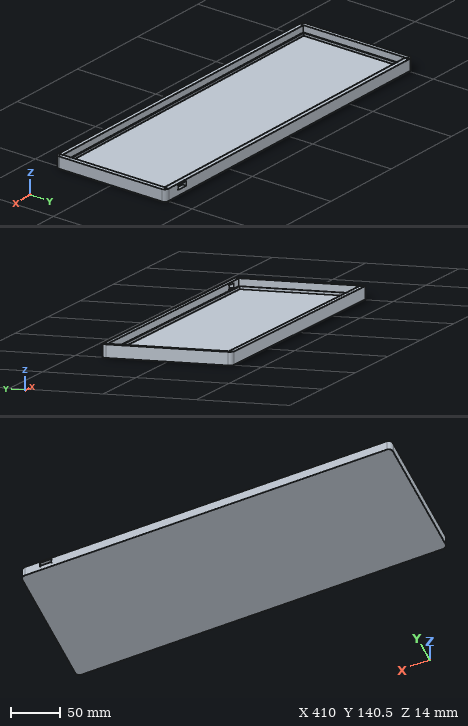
import cadquery as cq

length = 410.0
width = 140.5
height = 14.0
corner_radius = 5.0

wall = 5.5
floor_thickness = 3.0
step_width = 1.2
step_height = 3.0

hole_diameter = 1.6
hole_depth = 4.0
hole_inset_x = 5.0
hole_inset_y = 3.0

window_length = 12.7
window_height = 5.0
window_end_offset = 21.5
window_sill = 1.0
window_bottom = floor_thickness + step_height + window_sill


def cavity(inset, bottom):
    """Rectangular cavity, inset from the outer walls and open at the top."""
    return (
        cq.Workplane("XY", origin=(0, 0, bottom))
        .rect(length - 2 * inset, width - 2 * inset)
        .extrude(height - bottom)
    )


def tray_body():
    body = cq.Workplane("XY").rect(length, width).extrude(height)
    body = body.edges("|Z").fillet(corner_radius)
    body = body.cut(cavity(wall, floor_thickness + step_height))
    return body.cut(cavity(wall + step_width, floor_thickness))


def corner_holes():
    return (
        cq.Workplane("XY", origin=(0, 0, height))
        .rect(length - 2 * hole_inset_x, width - 2 * hole_inset_y, forConstruction=True)
        .vertices()
        .circle(hole_diameter / 2)
        .extrude(-hole_depth)
    )


def back_window():
    center_x = length / 2 - window_end_offset - window_length / 2
    center_y = (width - wall) / 2
    return (
        cq.Workplane("XY")
        .box(window_length, 2 * wall, window_height)
        .translate((center_x, center_y, window_bottom + window_height / 2))
    )


result = tray_body().cut(corner_holes()).cut(back_window())